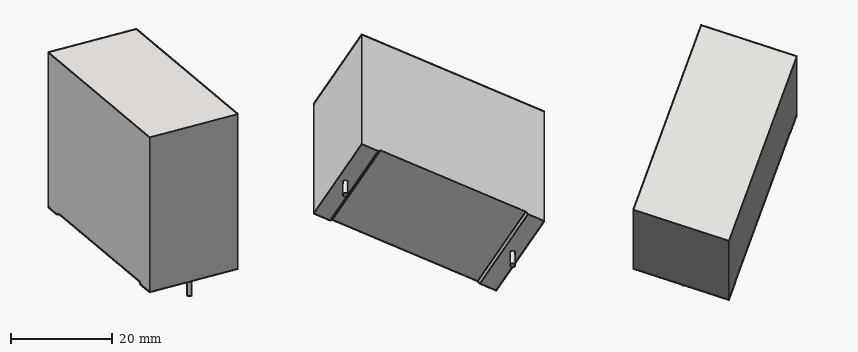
import cadquery as cq

body_length = 41.0
body_width = 20.0
overall_height = 38.7

pin_diameter = 1.0
pin_spacing = 37.5
pin_length = 4.0

relief_depth = 0.5
relief_top_length = 32.65
relief_bottom_length = 33.6

body_height = overall_height - pin_length


def make_body():
    """Solid block whose feet stand on Z = 0."""
    return cq.Workplane("XY").box(body_length, body_width, body_height, centered=(True, True, False))


def make_relief():
    """Trapezoidal channel through the full width, wider at its open bottom."""
    return (
        cq.Workplane("XZ")
        .polyline([
            (-relief_bottom_length / 2, 0),
            (relief_bottom_length / 2, 0),
            (relief_top_length / 2, relief_depth),
            (-relief_top_length / 2, relief_depth),
        ])
        .close()
        .extrude(body_width / 2, both=True)
    )


def make_pins():
    """Two leads hanging below the feet, on the centre line of the body."""
    return (
        cq.Workplane("XY")
        .pushPoints([(-pin_spacing / 2, 0), (pin_spacing / 2, 0)])
        .circle(pin_diameter / 2)
        .extrude(-pin_length)
    )


result = make_body().cut(make_relief()).union(make_pins())